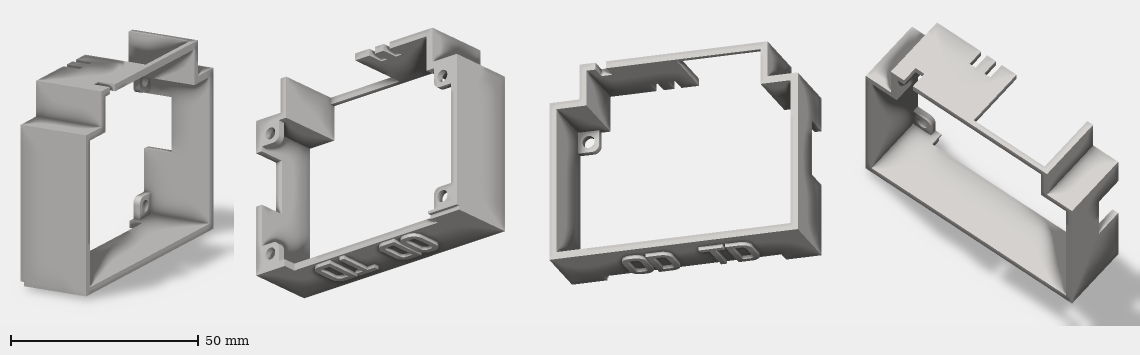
import cadquery as cq

depth = 20.0
width = 70.0
shoulder_height = 45.0
frame_height = 55.0
shoulder_width = 8.5
wall = 2.0
inner_half_width = width / 2 - wall
tower_half_width = width / 2 - shoulder_width

window_length = 24.0
window_rim = 1.5
window_end_y = tower_half_width - wall
pin_slot_width = 2.0
pin_slot_depth = 5.0
pin_slot_centres = (-5.5, -10.5)
rear_slot_width = 3.0
rear_slot_depth = 5.0
rear_slot_centre = -20.5

connector_bottom = 20.1
connector_height = 15.5
connector_depth = 8.3
strip_depth = 2.5

floor_relief_depth = 4.0
floor_relief_length = 50.0
notch_depth = 1.0
notch_height = 1.2
notch_length = (width - floor_relief_length) / 2

tab_size = 6.0
tab_thickness = 2.0
tab_corner_radius = 2.0
tab_hole_diameter = 3.4
tab_hole_inset = 3.0

character_thickness = 1.0
character_height = 11.4
character_width = 6.7
character_stroke = 1.65
character_bowl_radius = 2.8
character_pitch = 7.45
characters_centre_x = 10.4
characters_centre_y = 1.65


def box(x_range, y_range, z_range):
    """An axis-aligned block between the given limits."""
    (x0, x1), (y0, y1), (z0, z1) = x_range, y_range, z_range
    return cq.Workplane("XY").box(x1 - x0, y1 - y0, z1 - z0, centered=False).translate((x0, y0, z0))


def span(centre, size):
    """The limits of a stretch of the given size about a centre."""
    return (centre - size / 2, centre + size / 2)


def stepped_block(base_half_width, tower_half, bottom, shoulder, top):
    """A wide base with a narrower tower on it, through the whole depth."""
    base = box((0, depth), (-base_half_width, base_half_width), (bottom, shoulder))
    tower = box((0, depth), (-tower_half, tower_half), (bottom, top))
    return base.union(tower)


def make_frame():
    outside = stepped_block(width / 2, tower_half_width, 0, shoulder_height, frame_height)
    inside = stepped_block(
        inner_half_width, tower_half_width - wall, wall, shoulder_height - wall, frame_height - wall
    )
    frame = outside.cut(inside)

    top_wall = (frame_height - wall, frame_height)
    window_y = (window_end_y - window_length, window_end_y)
    frame = frame.cut(box((0, depth - window_rim), window_y, top_wall))
    for slot_y in pin_slot_centres:
        frame = frame.cut(box((0, pin_slot_depth), span(slot_y, pin_slot_width), top_wall))
    rear_slot_y = span(rear_slot_centre, rear_slot_width)
    frame = frame.cut(box((depth - rear_slot_depth, depth), rear_slot_y, top_wall))

    frame = frame.cut(connector_block(0, connector_depth + strip_depth))

    frame = frame.cut(box((0, floor_relief_depth), span(0, floor_relief_length), (0, wall)))
    notch_y = (-width / 2, -width / 2 + notch_length)
    return frame.cut(box((0, notch_depth), notch_y, (0, notch_height)))


def connector_block(x_start, x_end):
    """A block as tall as the connector opening and as thick as the +Y wall."""
    connector_z = (connector_bottom, connector_bottom + connector_height)
    return box((x_start, x_end), (inner_half_width, width / 2), connector_z)


def make_strip():
    return connector_block(connector_depth, connector_depth + strip_depth)


def make_tab(y_side, z_side):
    """A screw tab in the inner corner on the given sides, with its free corner rounded."""
    corner_z = shoulder_height - wall if z_side > 0 else wall
    centre_y = y_side * (inner_half_width - tab_size / 2)
    centre_z = corner_z - z_side * tab_size / 2
    hole_y = y_side * (inner_half_width - tab_hole_inset)
    hole_z = corner_z - z_side * tab_hole_inset
    free_corner = cq.selectors.NearestToPointSelector(
        (tab_thickness / 2, centre_y - y_side * tab_size / 2, centre_z - z_side * tab_size / 2)
    )
    hole = cq.Workplane("YZ").center(hole_y, hole_z).circle(tab_hole_diameter / 2).extrude(tab_thickness)
    tab = box((0, tab_thickness), span(centre_y, tab_size), span(centre_z, tab_size))
    return tab.edges("|X").edges(free_corner).fillet(tab_corner_radius).cut(hole)


def make_loop_character(rounded_edges):
    """A closed stroke whose selected upright edges are rounded: an O or a D."""
    outside = cq.Workplane("XY").box(character_height, character_width, character_thickness)
    inside = cq.Workplane("XY").box(
        character_height - 2 * character_stroke,
        character_width - 2 * character_stroke,
        character_thickness,
    )
    outside = outside.edges(rounded_edges).fillet(character_bowl_radius)
    inside = inside.edges(rounded_edges).fillet(character_bowl_radius - character_stroke)
    return outside.cut(inside)


def make_o():
    return make_loop_character("|Z")


def make_d():
    return make_loop_character("|Z and >Y")


def make_t():
    """A stem along X with a bar across its +X end."""
    stem = cq.Workplane("XY").box(character_height, character_stroke, character_thickness)
    bar = cq.Workplane("XY").box(character_stroke, character_width, character_thickness)
    return stem.union(bar.translate(((character_height - character_stroke) / 2, 0, 0)))


frame = make_frame()
strip = make_strip()
tabs = [make_tab(y_side, z_side) for y_side in (-1, 1) for z_side in (-1, 1)]

characters = []
for place, make_character in ((-2, make_o), (-1, make_d), (1, make_t), (2, make_d)):
    character_y = characters_centre_y + place * character_pitch
    characters.append(
        make_character().translate((characters_centre_x, character_y, -character_thickness / 2))
    )

result = cq.Compound.makeCompound(
    [
        frame.val(),
        strip.val(),
        *[tab.val() for tab in tabs],
        *[character.val() for character in characters],
    ]
)